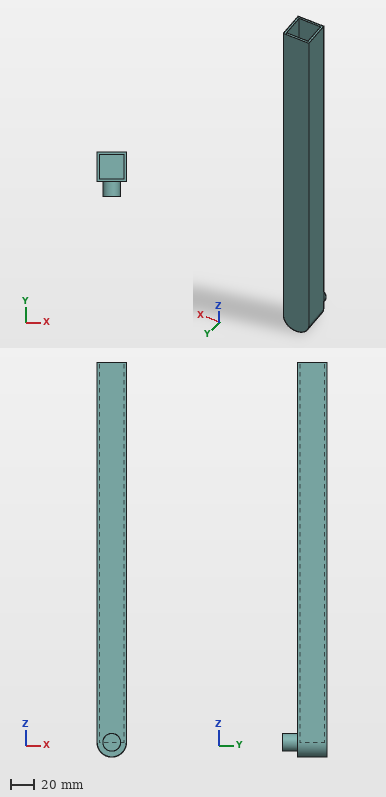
import cadquery as cq

total_height = 336.5
tube_width = 25.2
wall = 2.0
pin_diameter = 15.0
pin_length = 12.8

end_radius = tube_width / 2
straight_height = total_height - end_radius
front_face = -tube_width / 2


def rounded_bar():
    """Solid square bar standing on a half-round end, with the end axis at Z = 0."""
    return (
        cq.Workplane("XZ", origin=(0, tube_width / 2, 0))
        .moveTo(-end_radius, straight_height)
        .lineTo(-end_radius, 0)
        .threePointArc((0, -end_radius), (end_radius, 0))
        .lineTo(end_radius, straight_height)
        .close()
        .extrude(tube_width)
    )


def tube_cavity():
    """Square bore, open at the top and ending on a flat floor above the rounded end."""
    bore_width = tube_width - 2 * wall
    return cq.Workplane("XY").rect(bore_width, bore_width).extrude(straight_height)


def pivot_pin():
    """Round pin projecting from the front face (-Y)."""
    return (
        cq.Workplane("XZ", origin=(0, front_face, 0))
        .circle(pin_diameter / 2)
        .extrude(pin_length)
    )


result = rounded_bar().cut(tube_cavity()).union(pivot_pin())